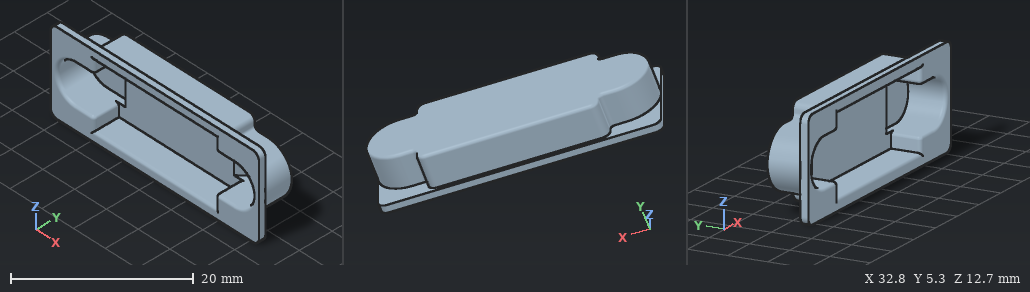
import cadquery as cq

flange_length = 32.8
flange_height = 12.7
flange_thickness = 1.0
flange_corner_radius = 1.0

total_depth = 5.3
side_wall = 1.0
back_wall = 0.5
box_length = 21.1
box_height = 11.65
grip_length = flange_length
grip_height = 7.8
box_corner_radius = 1.0
inside_corner_radius = 0.5
back_edge_radius = 0.5

pocket_length = box_length - 2 * side_wall
pocket_height = box_height - 2 * side_wall
grip_cavity_length = grip_length - 2 * side_wall
grip_cavity_height = grip_height - 2 * side_wall
grip_floor_depth = total_depth - back_wall
ramp_run = 1.0
ramp_rise = 1.0
pocket_floor_depth = grip_floor_depth - ramp_rise
opening_radius = 0.5

pick_margin = 0.05


def front_plane(depth):
    """XZ sketch plane at y = depth; a negative extrusion runs toward +Y."""
    return cq.Workplane(cq.Plane(origin=(0, depth, 0), xDir=(1, 0, 0), normal=(0, -1, 0)))


def plate(length, height, start, end):
    return front_plane(start).rect(length, height).extrude(start - end)


def slot(length, height, start, end):
    return front_plane(start).slot2D(length, height).extrude(start - end)


def corner_edges(solid, half_length, half_height, start, end):
    """Edges parallel to Y at the four mirrored (x, z) corners of a solid."""
    picked = []
    for side_x in (-1, 1):
        for side_z in (-1, 1):
            x = side_x * half_length
            z = side_z * half_height
            box = cq.selectors.BoxSelector(
                (x - pick_margin, start, z - pick_margin),
                (x + pick_margin, end, z + pick_margin),
            )
            picked += box.filter(solid.edges("|Y").vals())
    return picked


def make_flange():
    flange = plate(flange_length, flange_height, 0, flange_thickness)
    return flange.edges("|Y").fillet(flange_corner_radius)


def make_body():
    box = plate(box_length, box_height, flange_thickness, total_depth)
    box = box.edges("|Y").fillet(box_corner_radius)
    body = box.union(slot(grip_length, grip_height, flange_thickness, total_depth))
    junctions = corner_edges(body, box_length / 2, grip_height / 2, flange_thickness, total_depth)
    body = body.newObject(junctions).fillet(inside_corner_radius)
    return body.faces(">Y").edges().fillet(back_edge_radius)


def make_cavity():
    """Box pocket plus deeper grip ends, joined by ramps on a central raised floor."""
    pocket = plate(pocket_length, pocket_height, 0, pocket_floor_depth)
    grip = slot(grip_cavity_length, grip_cavity_height, 0, grip_floor_depth)
    ramp_foot = pocket_length / 2
    ramp_top = ramp_foot - ramp_run
    raised_floor = (
        cq.Workplane("XY")
        .polyline([
            (-ramp_foot, grip_floor_depth),
            (-ramp_top, pocket_floor_depth),
            (ramp_top, pocket_floor_depth),
            (ramp_foot, grip_floor_depth),
        ])
        .close()
        .extrude(grip_cavity_height / 2, both=True)
    )
    return grip.cut(raised_floor).union(pocket)


def round_opening(solid):
    """Round the front rim of the cavity and the corners where grip and pocket meet."""
    rim_zone = cq.selectors.BoxSelector(
        (-flange_length / 2 + pick_margin, -pick_margin, -flange_height / 2 + pick_margin),
        (flange_length / 2 - pick_margin, pick_margin, flange_height / 2 - pick_margin),
        boundingbox=True,
    )
    rim = solid.edges(rim_zone).vals()
    junctions = corner_edges(solid, pocket_length / 2, grip_cavity_height / 2, 0, pocket_floor_depth)
    return solid.newObject(rim + junctions).fillet(opening_radius)


result = round_opening(make_flange().union(make_body()).cut(make_cavity()))